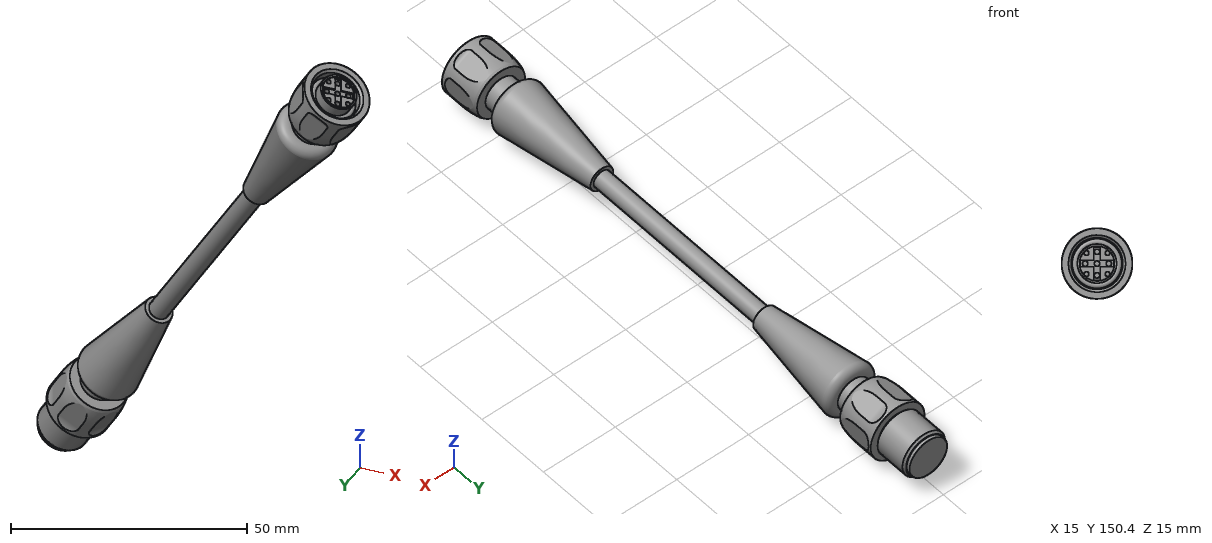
import cadquery as cq
import math

overall_length = 150.4
male_tip_y = overall_length / 2
female_tip_y = -overall_length / 2
cable_diameter = 4.6

boot_length = 28.9
boot_slim_diameter = 6.4
boot_large_diameter = 14.1
boot_shoulder_radius = 2.0
neck_diameter = 8.7
boot_to_nut_face = 14.4

nut_diameter = 15.0
male_nut_length = 10.9
female_nut_length = 10.5
nut_taper_length = 5.45
nut_crown_end_radius = 7.0
nut_chamfer = 0.7
nut_chamfer_drop = 0.3
grip_count = 6
grip_flat_distance = 7.03
grip_flat_length = 8.1
male_grip_ramp_length = 2.1
female_grip_ramp_length = 1.4

sleeve_diameter = 11.9
sleeve_length = 10.0
tip_diameter = 10.5
tip_length = 0.9
sleeve_lead_diameter = 10.9
sleeve_lead_length = 0.6
sleeve_undercut_diameter = 10.95
sleeve_undercut_width = 0.4

insert_protrusion = 0.9
insert_diameter = 8.3
insert_recess_diameter = 7.4
insert_recess_depth = 0.3
seal_outer_diameter = 10.5
seal_section_diameter = 1.3
seal_seating = 0.05
nut_bore_diameter = 10.95
nut_mouth_diameter = 12.1
nut_bore_depth = 3.0
socket_diameter = 1.15
socket_depth = 3.0
socket_circle_radius = 2.5
contact_count = 4
cross_slot_width = 1.4
cross_slot_length = 7.0
cross_slot_depth = 0.4
pocket_diameter = 1.0
pocket_circle_radius = 3.15
pocket_start_angle = 45

male_nut_face = male_tip_y - sleeve_length
female_nut_face = female_tip_y + insert_protrusion
cable_end_offset = boot_to_nut_face + boot_length - boot_shoulder_radius


def revolve_about_y(profile):
    return profile.close().revolve(360, (0, 0, 0), (0, 1, 0))


def y_cylinder(diameter, y_from, y_to, x=0.0, z=0.0):
    base = cq.Workplane("XZ", origin=(x, y_from, z))
    return base.circle(diameter / 2).extrude(y_from - y_to)


def boot(face, inward):
    """Boot and neck behind a nut; inward is the Y direction towards the cable."""
    shoulder_start = face + inward * boot_to_nut_face
    shoulder_end = shoulder_start + inward * boot_shoulder_radius
    slim_end = shoulder_start + inward * boot_length
    large_radius = boot_large_diameter / 2
    shoulder_inner_radius = large_radius - boot_shoulder_radius
    bulge = boot_shoulder_radius * math.sqrt(0.5)
    profile = (
        cq.Workplane("XY")
        .moveTo(0, shoulder_start)
        .lineTo(shoulder_inner_radius, shoulder_start)
        .threePointArc(
            (shoulder_inner_radius + bulge, shoulder_end - inward * bulge),
            (large_radius, shoulder_end),
        )
        .lineTo(boot_slim_diameter / 2, slim_end)
        .lineTo(0, slim_end)
    )
    neck_start = face + inward * nut_bore_depth
    neck = y_cylinder(neck_diameter, neck_start, shoulder_end)
    return revolve_about_y(profile).union(neck)


def grip_cutter(back, inward, ramp_length, angle):
    """Prism removing one grip flat and the concave ramp at its mating end."""
    flat_y = back - inward * grip_flat_length
    ramp_y = flat_y - inward * ramp_length
    outer_radius = nut_diameter / 2
    prism = (
        cq.Workplane("XY")
        .moveTo(grip_flat_distance, back)
        .lineTo(grip_flat_distance, flat_y)
        .tangentArcPoint((outer_radius, ramp_y), relative=False)
        .lineTo(nut_diameter, ramp_y)
        .lineTo(nut_diameter, back)
        .close()
        .extrude(outer_radius, both=True)
    )
    return prism.rotate((0, 0, 0), (0, 1, 0), angle)


def nut(face, inward, length, ramp_length):
    outer_radius = nut_diameter / 2
    back = face + inward * length
    cylinder_end = back - inward * nut_taper_length
    crown_end = back - inward * nut_chamfer
    profile = (
        cq.Workplane("XY")
        .moveTo(0, face)
        .lineTo(outer_radius, face)
        .lineTo(outer_radius, cylinder_end)
        .tangentArcPoint((nut_crown_end_radius, crown_end), relative=False)
        .lineTo(nut_crown_end_radius - nut_chamfer_drop, back)
        .lineTo(0, back)
    )
    body = revolve_about_y(profile)
    for index in range(grip_count):
        body = body.cut(grip_cutter(back, inward, ramp_length, index * 360 / grip_count))
    return body


def male_sleeve():
    sleeve_radius = sleeve_diameter / 2
    tip_radius = tip_diameter / 2
    undercut_radius = sleeve_undercut_diameter / 2
    undercut_end = male_nut_face + sleeve_undercut_width
    lead_start = male_tip_y - tip_length
    profile = (
        cq.Workplane("XY")
        .moveTo(0, male_nut_face)
        .lineTo(undercut_radius, male_nut_face)
        .lineTo(undercut_radius, undercut_end)
        .lineTo(sleeve_radius, undercut_end)
        .lineTo(sleeve_radius, lead_start - sleeve_lead_length)
        .lineTo(sleeve_lead_diameter / 2, lead_start)
        .lineTo(tip_radius, lead_start)
        .lineTo(tip_radius, male_tip_y)
        .lineTo(0, male_tip_y)
    )
    return revolve_about_y(profile)


def female_bore():
    mouth_radius = nut_mouth_diameter / 2
    bore_radius = nut_bore_diameter / 2
    mouth_chamfer = mouth_radius - bore_radius
    floor = female_nut_face + nut_bore_depth
    profile = (
        cq.Workplane("XY")
        .moveTo(0, female_nut_face)
        .lineTo(mouth_radius, female_nut_face)
        .lineTo(bore_radius, female_nut_face + mouth_chamfer)
        .lineTo(bore_radius, floor)
        .lineTo(0, floor)
    )
    return revolve_about_y(profile)


def polar_cylinders(diameter, radius, start_angle, y_from, y_to):
    cylinders = cq.Workplane("XY")
    for index in range(contact_count):
        angle = math.radians(start_angle + index * 360 / contact_count)
        x = radius * math.cos(angle)
        z = radius * math.sin(angle)
        cylinders = cylinders.add(y_cylinder(diameter, y_from, y_to, x, z))
    return cylinders.combine()


def seal_ring():
    """O-ring around the insert, pressed into the bore floor."""
    section_radius = seal_section_diameter / 2
    ring_radius = seal_outer_diameter / 2 - section_radius
    middle = female_nut_face + nut_bore_depth + seal_seating - section_radius
    section = cq.Workplane("XY").center(-ring_radius, middle).circle(section_radius)
    return section.revolve(360, (ring_radius, 0, 0), (ring_radius, 1, 0))


def female_insert():
    contact_face = female_tip_y + insert_recess_depth
    body = y_cylinder(insert_diameter, female_tip_y, female_nut_face + nut_bore_depth)
    insert = body.union(seal_ring())
    insert = insert.cut(y_cylinder(insert_recess_diameter, female_tip_y, contact_face))

    slot_y = contact_face + cross_slot_depth / 2
    for x_size, z_size in (
        (cross_slot_length, cross_slot_width),
        (cross_slot_width, cross_slot_length),
    ):
        slot = cq.Workplane("XY").box(x_size, cross_slot_depth, z_size)
        insert = insert.cut(slot.translate((0, slot_y, 0)))

    socket_end = contact_face + socket_depth
    insert = insert.cut(y_cylinder(socket_diameter, contact_face, socket_end))
    insert = insert.cut(
        polar_cylinders(socket_diameter, socket_circle_radius, 0, contact_face, socket_end)
    )
    return insert.cut(
        polar_cylinders(
            pocket_diameter, pocket_circle_radius, pocket_start_angle, contact_face, socket_end
        )
    )


cable = y_cylinder(
    cable_diameter,
    female_nut_face + cable_end_offset,
    male_nut_face - cable_end_offset,
)
male_nut = nut(male_nut_face, -1, male_nut_length, male_grip_ramp_length)
male_connector = boot(male_nut_face, -1).union(male_nut).union(male_sleeve())

female_nut = nut(female_nut_face, 1, female_nut_length, female_grip_ramp_length).cut(female_bore())
female_connector = boot(female_nut_face, 1).union(female_nut).union(female_insert())

result = cable.union(male_connector).union(female_connector)